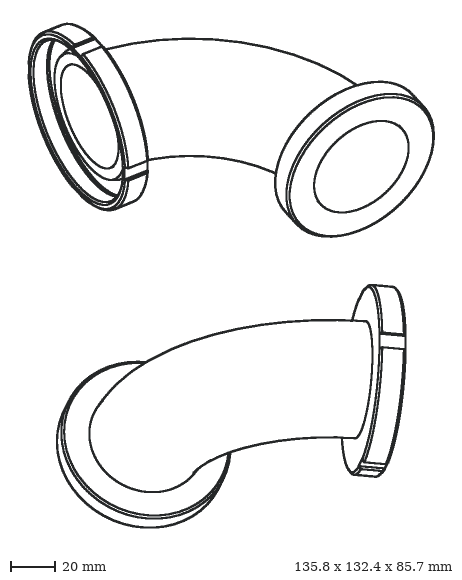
import cadquery as cq
import math

overall_length = 135.8

bend_radius = 85.6
tube_outer_radius = 26.5
tube_inner_radius = 25.0
inlet_face_y = -1.8
bend_start_y = -0.7

liner_front_radius = 30.4
liner_base_radius = 31.5
collar_front_y = 1.1

flange_radius = 39.0
flange_thickness = 12.0
flange_chamfer = 1.1
flange_back_rise = 0.4

nut_diameter = 86.0
nut_front_y = -8.5
nut_thickness = 12.1
nut_lip_thickness = 1.2
nut_bore_radius = 39.0
nut_edge_chamfer = 1.1
nut_bore_chamfer = 1.0
relief_radius = 39.4
relief_start_y = -0.3
slot_width = 7.3
slot_floor_radius = 41.4
slot_count = 4

nut_radius = nut_diameter / 2
nut_reach = math.sqrt(nut_radius**2 - (slot_width / 2) ** 2)
outlet_face_x = overall_length - nut_reach
nut_back_y = nut_front_y + nut_thickness
lip_front_y = nut_back_y - nut_lip_thickness
outlet_axis_y = bend_start_y + bend_radius


def revolve_about_y(profile):
    """Revolve (radius, y) points about the inlet axis."""
    return cq.Workplane("XY").polyline(profile).close().revolve(360, (0, 0, 0), (0, 1, 0))


def elbow_rod(radius):
    """Solid quarter bend with straight ends reaching both end faces."""
    half_turn = math.sqrt(0.5)
    path = (
        cq.Workplane("XY")
        .moveTo(0, inlet_face_y)
        .lineTo(0, bend_start_y)
        .threePointArc(
            (bend_radius * (1 - half_turn), bend_start_y + bend_radius * half_turn),
            (bend_radius, outlet_axis_y),
        )
        .lineTo(outlet_face_x, outlet_axis_y)
    )
    return cq.Workplane("XZ", origin=(0, inlet_face_y, 0)).circle(radius).sweep(path)


def make_liner():
    """Cone-sided liner with a flat collar around the inlet end of the tube."""
    return revolve_about_y([
        (0, inlet_face_y),
        (liner_front_radius, inlet_face_y),
        (liner_base_radius, collar_front_y),
        (relief_radius, collar_front_y),
        (relief_radius, lip_front_y),
        (0, lip_front_y),
    ])


def make_flange():
    """Disc with chamfered edges and a shallow conical back at the outlet."""
    back_x = outlet_face_x - flange_thickness
    face_radius = flange_radius - flange_chamfer
    profile = [
        (outlet_face_x, outlet_axis_y),
        (outlet_face_x, outlet_axis_y + face_radius),
        (outlet_face_x - flange_chamfer, outlet_axis_y + flange_radius),
        (back_x + flange_chamfer, outlet_axis_y + flange_radius),
        (back_x, outlet_axis_y + face_radius),
        (back_x - flange_back_rise, outlet_axis_y + tube_inner_radius),
        (back_x - flange_back_rise, outlet_axis_y),
    ]
    axis_start = (0, outlet_axis_y, 0)
    axis_end = (1, outlet_axis_y, 0)
    return cq.Workplane("XY").polyline(profile).close().revolve(360, axis_start, axis_end)


def make_elbow():
    """Bent tube with the liner at its inlet and the flange at its outlet."""
    outside = elbow_rod(tube_outer_radius).union(make_liner()).union(make_flange())
    return outside.cut(elbow_rod(tube_inner_radius))


def make_nut():
    """Ring with a lip behind the collar, a relief around it and flat-bottomed rim slots."""
    ring = revolve_about_y([
        (0, nut_front_y),
        (nut_radius, nut_front_y),
        (nut_radius, nut_back_y),
        (0, nut_back_y),
    ]).edges().chamfer(nut_edge_chamfer)
    recess = revolve_about_y([
        (0, nut_front_y),
        (nut_bore_radius + nut_bore_chamfer, nut_front_y),
        (nut_bore_radius, nut_front_y + nut_bore_chamfer),
        (nut_bore_radius, relief_start_y),
        (relief_radius, relief_start_y),
        (relief_radius, lip_front_y),
        (0, lip_front_y),
    ])
    nut = ring.cut(recess)
    slot = cq.Workplane("XY").box(
        nut_radius, nut_thickness, slot_width, centered=(False, False, True)
    ).translate((slot_floor_radius, nut_front_y, 0))
    for index in range(slot_count):
        nut = nut.cut(slot.rotate((0, 0, 0), (0, 1, 0), index * 360 / slot_count))
    return nut


elbow = make_elbow()
nut = make_nut().cut(elbow_rod(tube_outer_radius))
result = cq.Compound.makeCompound([elbow.val(), nut.val()])